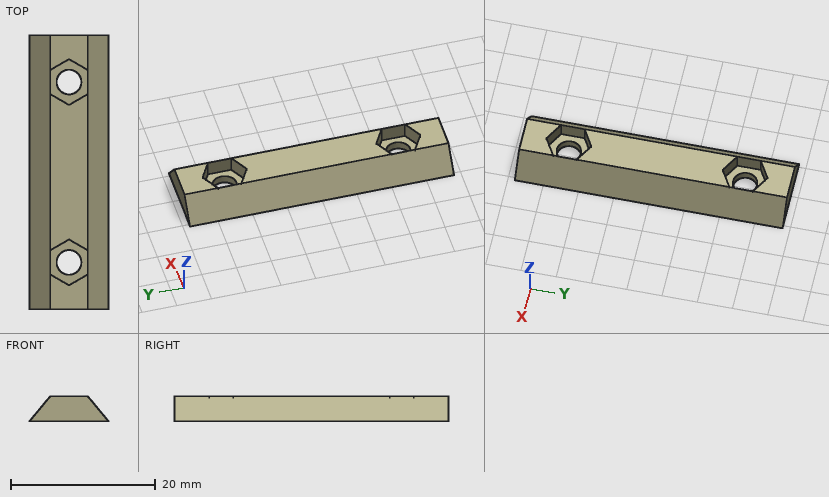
import cadquery as cq
import math

length = 38.0
height = 3.5
base_width = 11.0
top_width = 5.2

hole_spacing = 25.0
hole_diameter = 3.4
nut_across_flats = 5.5
nut_across_corners = nut_across_flats / math.cos(math.radians(30))
nut_depth = 2.25


def make_bar():
    """Trapezoidal prism centred on X and Y, standing on Z = 0."""
    section = [
        (-base_width / 2, 0),
        (base_width / 2, 0),
        (top_width / 2, height),
        (-top_width / 2, height),
    ]
    return cq.Workplane("XZ").polyline(section).close().extrude(length / 2, both=True)


def make_fastener_cut(y):
    """Through hole plus a nut pocket open at the top, with hexagon corners along Y.

    The two side flats are trimmed to the width of the top face, so that
    the pocket does not break through the sloping sides.
    """
    hole = cq.Workplane("XY").center(0, y).circle(hole_diameter / 2).extrude(height)
    pocket = (
        cq.Workplane("XY", origin=(0, y, height - nut_depth))
        .transformed(rotate=(0, 0, 90))
        .polygon(6, nut_across_corners)
        .extrude(nut_depth)
    )
    trim = cq.Workplane("XY").box(top_width, length, height, centered=(True, True, False))
    pocket = pocket.intersect(trim)
    return hole.union(pocket)


result = make_bar()
for y_position in (-hole_spacing / 2, hole_spacing / 2):
    result = result.cut(make_fastener_cut(y_position))